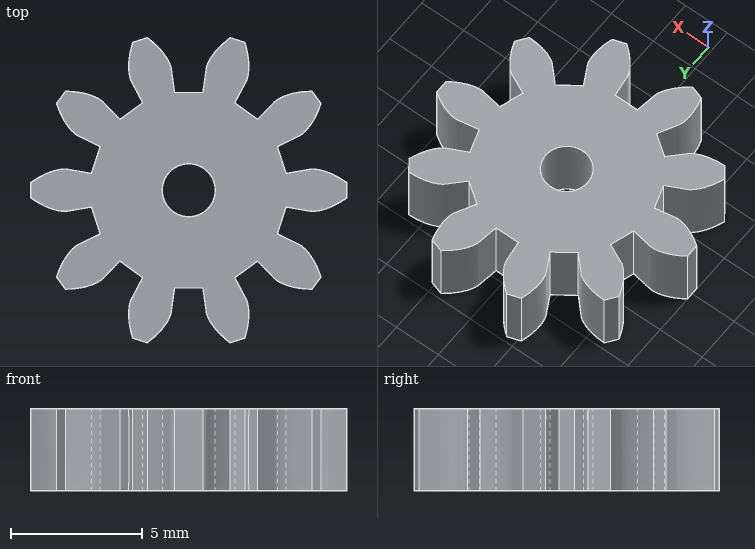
import cadquery as cq
import math

TOOTH_COUNT = 10
MODULE = 1.0
PRESSURE_ANGLE = math.radians(20)
THICKNESS = 3.125
BORE_DIAMETER = 2.0
DEDENDUM_FACTOR = 1.25
FLANK_SAMPLES = 8

PITCH_RADIUS = MODULE * TOOTH_COUNT / 2
BASE_RADIUS = PITCH_RADIUS * math.cos(PRESSURE_ANGLE)
TIP_RADIUS = PITCH_RADIUS + MODULE
ROOT_RADIUS = PITCH_RADIUS - DEDENDUM_FACTOR * MODULE
TOOTH_PITCH = 2 * math.pi / TOOTH_COUNT


def involute(angle):
    return math.tan(angle) - angle


BASE_HALF_ANGLE = TOOTH_PITCH / 4 + involute(PRESSURE_ANGLE)


def polar(radius, angle):
    return (radius * math.cos(angle), radius * math.sin(angle))


def half_angle(radius):
    """Half of the angle spanned by a tooth at a radius on its involute flank."""
    return BASE_HALF_ANGLE - involute(math.acos(BASE_RADIUS / radius))


def flank(center_angle, side):
    """Involute points from the base circle to the tip; side is -1 or +1."""
    radii = [
        BASE_RADIUS + (TIP_RADIUS - BASE_RADIUS) * (i / FLANK_SAMPLES) ** 2
        for i in range(FLANK_SAMPLES + 1)
    ]
    return [polar(r, center_angle + side * half_angle(r)) for r in radii]


def gear_outline():
    """Teeth with radial lower flanks, involute upper flanks, flat tips and flat roots."""
    outline = cq.Workplane("XY").moveTo(*polar(ROOT_RADIUS, -BASE_HALF_ANGLE))
    for tooth in range(TOOTH_COUNT):
        center_angle = tooth * TOOTH_PITCH
        rising = flank(center_angle, -1)
        falling = flank(center_angle, 1)[::-1]
        outline = outline.lineTo(*rising[0])
        outline = outline.spline(rising[1:], includeCurrent=True)
        outline = outline.lineTo(*falling[0])
        outline = outline.spline(falling[1:], includeCurrent=True)
        outline = outline.lineTo(*polar(ROOT_RADIUS, center_angle + BASE_HALF_ANGLE))
        if tooth < TOOTH_COUNT - 1:
            next_root_angle = center_angle + TOOTH_PITCH - BASE_HALF_ANGLE
            outline = outline.lineTo(*polar(ROOT_RADIUS, next_root_angle))
    return outline.close()


def cut_bore(body):
    return body.faces(">Z").workplane(origin=(0, 0, THICKNESS)).hole(BORE_DIAMETER)


result = cut_bore(gear_outline().extrude(THICKNESS))